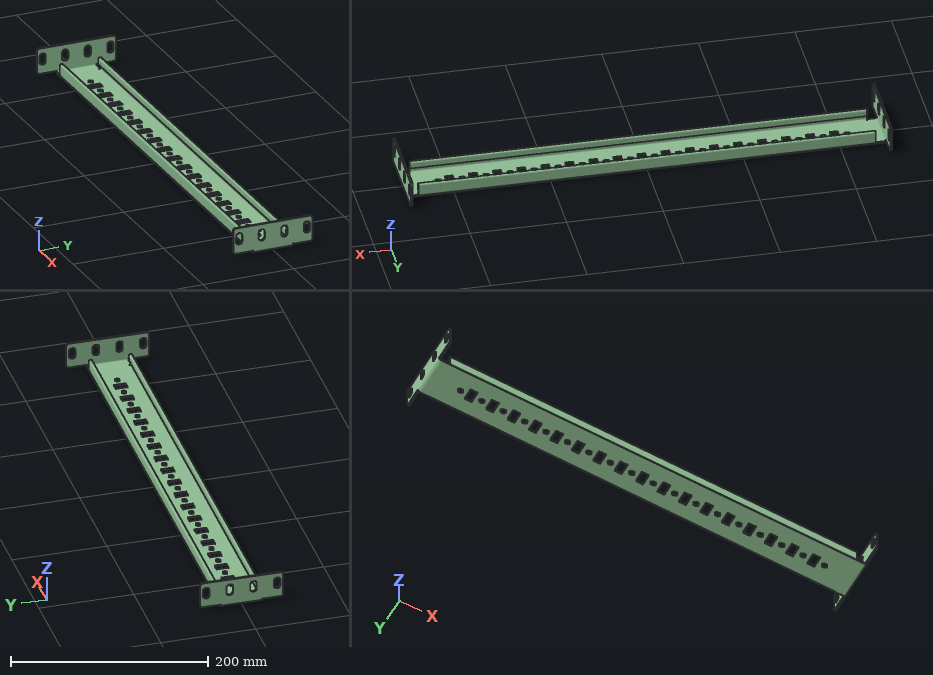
import cadquery as cq

length = 498.5
flange_width = 87.0
flange_height = 31.0
sheet = 2.0
bend_radius = 3.5

channel_length = 473.5
channel_width = 46.5
channel_height = 15.0
hem_width = 2 * sheet
hem_bottom = 7.5

strip_width = 44.0
flange_bottom = 3.0

pitch = 25.0
window_count = 17
window_length = 8.0
window_width = 12.5
slot_length = 6.0
slot_width = 4.5

flange_corner = 2.5
flange_slot_count = 4
flange_slot_width = 7.0
flange_slot_height = 12.5
flange_slot_z = 19.0


def bent_sheet(plane, span, height, depth):
    """Sheet bent up at both ends of its span: a U profile centred on the extrusion axis."""
    base = cq.Workplane(plane)
    outer = base.center(0, height / 2).rect(span, height).extrude(depth / 2, both=True)
    inner_height = height - sheet
    inner = (
        base.center(0, sheet + inner_height / 2)
        .rect(span - 2 * sheet, inner_height)
        .extrude(depth / 2, both=True)
    )
    run = "|X" if plane == "YZ" else "|Y"
    outer = outer.faces("<Z").edges(run).fillet(bend_radius)
    inner = inner.faces("<Z").edges(run).fillet(bend_radius - sheet)
    return outer.cut(inner)


def rim_hems():
    """Closed hems along both wall tops, with a fully rounded crest."""
    hem_radius = hem_width / 2
    wall_face = channel_width / 2
    hem = (
        cq.Workplane("YZ")
        .moveTo(wall_face - hem_width, hem_bottom)
        .lineTo(wall_face, hem_bottom)
        .lineTo(wall_face, channel_height - hem_radius)
        .threePointArc(
            (wall_face - hem_radius, channel_height),
            (wall_face - hem_width, channel_height - hem_radius),
        )
        .close()
        .extrude(channel_length / 2, both=True)
    )
    return hem.union(hem.mirror("XZ"))


def flange_plates():
    """Wide upright plates with rounded corners, one at each end."""
    plate_height = flange_height - flange_bottom
    plate = (
        cq.Workplane("XY")
        .box(sheet, flange_width, plate_height)
        .edges("|X")
        .fillet(flange_corner)
        .translate((length / 2 - sheet / 2, 0, flange_bottom + plate_height / 2))
    )
    bend_clearance = cq.Workplane("XY").rect(length, strip_width).extrude(bend_radius)
    plate = plate.cut(bend_clearance)
    return plate.union(plate.mirror("YZ"))


def flange_slots():
    """Upright slots passing through both end flanges."""
    return (
        cq.Workplane("YZ")
        .center(0, flange_slot_z)
        .rarray(pitch, 5, flange_slot_count, 1)
        .slot2D(flange_slot_height, flange_slot_width, 90)
        .extrude(length, both=True)
    )


def web_openings():
    """Rectangular windows alternating with small slots, with a slot at each end of the row."""
    windows = (
        cq.Workplane("XY")
        .rarray(pitch, 5, window_count, 1)
        .rect(window_length, window_width)
        .extrude(sheet)
    )
    slots = (
        cq.Workplane("XY")
        .rarray(pitch, 5, window_count + 1, 1)
        .slot2D(slot_length, slot_width)
        .extrude(sheet)
    )
    return windows.union(slots)


wall_height = channel_height - hem_width / 2
channel = bent_sheet("YZ", channel_width, wall_height, channel_length).union(rim_hems())
strip = bent_sheet("XZ", length, flange_height, strip_width)
result = channel.union(strip).union(flange_plates()).cut(flange_slots()).cut(web_openings())